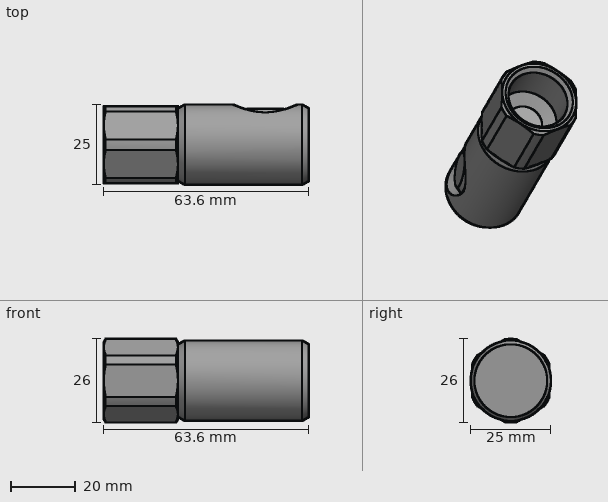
import cadquery as cq
import math

length = 63.6
body_radius = 25.0 / 2
body_chamfer_length = 2.1
body_end_radius = body_radius - body_chamfer_length * math.tan(math.radians(30))

hex_length = 23.0
hex_across_flats = 24.0
hex_corner_radius = 26.0 / 2
hex_chamfer_length = 0.65
hex_end_radius = hex_corner_radius - hex_chamfer_length * math.tan(math.radians(60))

bore_radius = 19.0 / 2
bore_mouth_radius = 21.7 / 2
bore_mouth_depth = bore_mouth_radius - bore_radius
bore_straight_depth = 13.6
bore_floor_radius = 11.0 / 2
bore_floor_drop = (bore_radius - bore_floor_radius) * math.tan(math.radians(30))
bore_floor_depth = bore_straight_depth + bore_floor_drop

button_x = 50.05
button_top_radius = 5.55
button_top_y = 11.2
recess_radius = 9.9
groove_bottom_y = (body_radius + button_top_y - recess_radius + button_top_radius) / 2
groove_bottom_radius = button_top_radius + button_top_y - groove_bottom_y


def revolve_about_x(points):
    """Solid of revolution about X from (x, radius) points that start and end on the axis."""
    return cq.Workplane("XY").polyline(points).close().revolve(360, (0, 0, 0), (1, 0, 0))


def make_head():
    prism = (
        cq.Workplane("YZ")
        .polygon(6, hex_across_flats, circumscribed=True)
        .extrude(hex_length)
    )
    turned_envelope = revolve_about_x([
        (0, 0),
        (0, hex_end_radius),
        (hex_chamfer_length, hex_corner_radius),
        (hex_length - hex_chamfer_length, hex_corner_radius),
        (hex_length, hex_end_radius),
        (hex_length, 0),
    ])
    return prism.intersect(turned_envelope)


def make_body():
    return revolve_about_x([
        (hex_length, 0),
        (hex_length, body_end_radius),
        (hex_length + body_chamfer_length, body_radius),
        (length - body_chamfer_length, body_radius),
        (length, body_end_radius),
        (length, 0),
    ])


def make_bore():
    return revolve_about_x([
        (0, 0),
        (0, bore_mouth_radius),
        (bore_mouth_depth, bore_radius),
        (bore_straight_depth, bore_radius),
        (bore_floor_depth, bore_floor_radius),
        (bore_floor_depth, 0),
    ])


def make_button_recess():
    """Ring-shaped cutter that leaves the button standing in its middle."""
    groove_center = cq.Vector(button_x, groove_bottom_y, 0)
    outward = cq.Vector(0, 1, 0)
    recess = cq.Solid.makeCone(
        groove_bottom_radius,
        recess_radius,
        body_radius - groove_bottom_y,
        groove_center,
        outward,
    )
    button = cq.Solid.makeCone(
        groove_bottom_radius,
        button_top_radius,
        button_top_y - groove_bottom_y,
        groove_center,
        outward,
    )
    return cq.Workplane(recess).cut(cq.Workplane(button))


result = make_head().union(make_body()).cut(make_bore()).cut(make_button_recess())